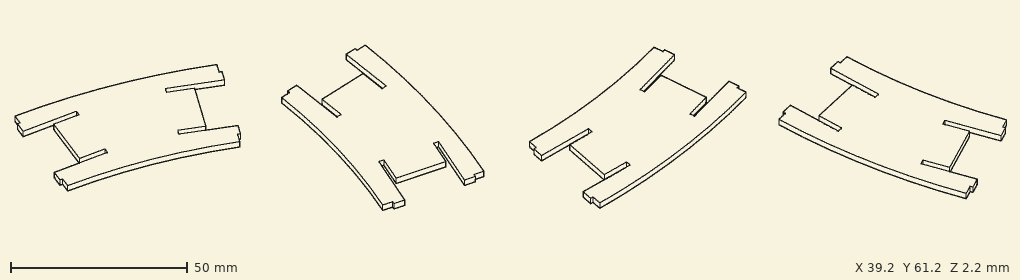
import cadquery as cq
import math

thickness = 2.2
outer_radius = 215.2
plate_width = 31.8
bend_angle = 16.3

tongue_width = 15.65
slot_width = 1.55
tab_width = 3.45
tab_height = 0.85
slot_depth = 16.3
tongue_setback = 8.15

inner_radius = outer_radius - plate_width
half_width = plate_width / 2
mid_radius = outer_radius - half_width
half_tongue = tongue_width / 2
half_slot_span = half_tongue + slot_width
half_tab_span = half_slot_span + tab_width


def half_end_profile():
    """Half of one end, from its corner to the tongue, as (offset from the mid-line, depth into the plate)."""
    return [
        (half_width, 0),
        (half_tab_span, 0),
        (half_tab_span, -tab_height),
        (half_slot_span, -tab_height),
        (half_slot_span, slot_depth),
        (half_tongue, slot_depth),
        (half_tongue, tongue_setback),
    ]


def end_profile():
    """A whole end, from the long curved side to the short one."""
    half = half_end_profile()
    other_half = [(-offset, depth) for offset, depth in reversed(half)]
    return half + other_half


def lower_end_point(offset, depth):
    """Place an end point on the lower end; the bend is centred on the origin, on the plate's +X side."""
    return (-(mid_radius + offset), depth)


def upper_end_point(offset, depth):
    """Place an end point on the upper end, the lower end mirrored across the middle of the bend."""
    angle = math.radians(bend_angle)
    radius = mid_radius + offset
    x = -radius * math.cos(angle) - depth * math.sin(angle)
    y = radius * math.sin(angle) - depth * math.cos(angle)
    return (x, y)


def arc_middle(radius):
    """Point halfway along a curved side."""
    angle = math.radians(bend_angle / 2)
    return (-radius * math.cos(angle), radius * math.sin(angle))


def plate():
    """Curved plate with a tongue between two tabbed arms at each end."""
    lower_end = [lower_end_point(offset, depth) for offset, depth in end_profile()]
    upper_end = [upper_end_point(offset, depth) for offset, depth in reversed(end_profile())]
    outline = (
        cq.Workplane("XY")
        .polyline(lower_end)
        .threePointArc(arc_middle(inner_radius), upper_end[0])
    )
    for point in upper_end[1:]:
        outline = outline.lineTo(*point)
    outline = outline.threePointArc(arc_middle(outer_radius), lower_end[0]).close()
    return outline.extrude(thickness)


result = plate()